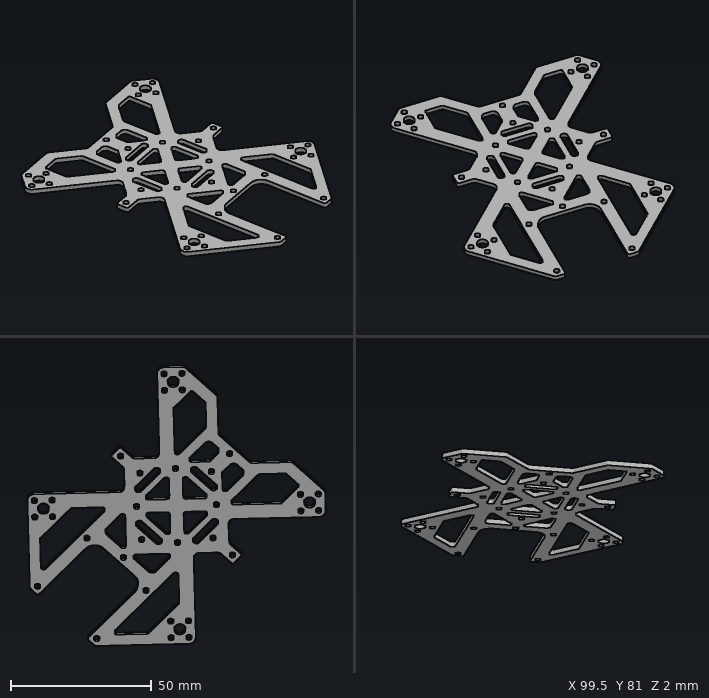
import cadquery as cq
import math


thickness = 2.0
length = 99.5
left_x = -40.5
right_x = left_x + length
half_depth = 40.5
waist_x = 30.0
bay_x = 29.85
bay_half_width = 12.0
side_diagonal = -22.1
body_diagonal = 26.0
tab_half_width = 2.5
tab_end_y = 30.0
tip_radius = 2.5
valley_radius = 2.0
shoulder_radius = 2.0
arm_corner_radius = 1.5
bay_radius = 4.5
end_radius = 0.8

motor_offset = 33.5
motor_screw_offset = 4.5
shaft_diameter = 4.0
screw_diameter = 2.0

stack_offset = 10.0
axis_hole_distances = [18.0, 27.5]
arm_hole_xs = [31.0, 56.5]
arm_hole_y = 14.5

window_radius = 1.0
blunt_radius = 0.5
square_radius = 1.8
slot_length = 11.9
slot_width = 2.6
slot_radius = 1.2
slot_offset = 14.2
center_base = 10.4
center_tip = 3.5
window_top = 26.5
left_arm_diagonal = 0.2
left_window_x = -35.7
left_window_bottom = 12.9
left_window_diagonal = -16.0
right_window_bottom = 17.1
right_window_diagonal = 69.2
triangle_x = 25.2
trapezoid_x = -26.2
trapezoid_top = 9.2
trapezoid_bottom = 3.1
trapezoid_diagonal = 23.4

tip_y = half_depth + tip_radius * (math.sqrt(2) - 1)
tip_sum = motor_offset + tip_y
arm_edge = tip_y - motor_offset


def rounded_prism(corners):
    """Extrude a closed polygon of (x, y, corner radius) through the plate."""
    outline = None
    for index, (x, y, radius) in enumerate(corners):
        corner = cq.Vector(x, y)
        before = cq.Vector(*corners[index - 1][:2])
        after = cq.Vector(*corners[(index + 1) % len(corners)][:2])
        to_before = (before - corner).normalized()
        to_after = (after - corner).normalized()
        half_angle = to_before.getAngle(to_after) / 2
        tangent_length = radius / math.tan(half_angle)
        arc_depth = radius / math.sin(half_angle) - radius
        arc_start = corner + to_before * tangent_length
        arc_middle = corner + (to_before + to_after).normalized() * arc_depth
        arc_end = corner + to_after * tangent_length
        if outline is None:
            outline = cq.Workplane("XY").moveTo(arc_start.x, arc_start.y)
        else:
            outline = outline.lineTo(arc_start.x, arc_start.y)
        outline = outline.threePointArc(arc_middle.toTuple()[:2], arc_end.toTuple()[:2])
    return outline.close().extrude(thickness)


def with_mirror(body):
    """Add the copy of a body on the other side of the X axis."""
    return body.union(body.mirror("XZ"))


def plate():
    valley_x = (body_diagonal - arm_edge) / 2
    valley_y = (body_diagonal + arm_edge) / 2
    upper_half = [
        (-waist_x, side_diagonal + waist_x, arm_corner_radius),
        (left_x, side_diagonal - left_x, arm_corner_radius),
        (left_x, tip_sum + left_x, arm_corner_radius),
        (-motor_offset, tip_y, tip_radius),
        (-valley_x, valley_y, valley_radius),
        (-tab_half_width, body_diagonal - tab_half_width, shoulder_radius),
        (-tab_half_width, tab_end_y, end_radius),
        (tab_half_width, tab_end_y, end_radius),
        (tab_half_width, body_diagonal - tab_half_width, shoulder_radius),
        (valley_x, valley_y, valley_radius),
        (motor_offset, tip_y, tip_radius),
        (right_x, tip_sum - right_x, arm_corner_radius),
        (right_x, bay_half_width, end_radius),
        (bay_x, bay_half_width, bay_radius),
    ]
    lower_half = [(x, -y, radius) for x, y, radius in reversed(upper_half)]
    return rounded_prism(upper_half + lower_half)


def center_windows():
    """Triangle and slot above the origin, repeated on all four sides."""
    half_base = center_base - center_tip
    triangle = rounded_prism([
        (0, center_tip, window_radius),
        (half_base, center_base, window_radius),
        (-half_base, center_base, window_radius),
    ])
    slot_bottom = slot_offset - slot_width / 2
    slot_top = slot_offset + slot_width / 2
    slot = rounded_prism([
        (-slot_length / 2, slot_bottom, slot_radius),
        (slot_length / 2, slot_bottom, slot_radius),
        (slot_length / 2, slot_top, slot_radius),
        (-slot_length / 2, slot_top, slot_radius),
    ])
    one_side = triangle.union(slot)
    windows = one_side
    for angle in (90, 180, 270):
        windows = windows.union(one_side.rotate((0, 0, 0), (0, 0, 1), angle))
    return windows


def left_arm_window():
    return rounded_prism([
        (left_window_x, window_top, blunt_radius),
        (left_arm_diagonal - window_top, window_top, blunt_radius),
        (left_arm_diagonal - left_window_bottom, left_window_bottom, window_radius),
        (left_window_diagonal - left_window_bottom, left_window_bottom, square_radius),
        (left_window_x, left_window_diagonal - left_window_x, blunt_radius),
    ])


def right_arm_window():
    return rounded_prism([
        (window_top, window_top, blunt_radius),
        (right_window_diagonal - window_top, window_top, blunt_radius),
        (right_window_diagonal - right_window_bottom, right_window_bottom, window_radius),
        (right_window_bottom, right_window_bottom, window_radius),
    ])


def body_triangle():
    return rounded_prism([
        (triangle_x, bay_half_width, square_radius),
        (triangle_x, body_diagonal - triangle_x, window_radius),
        (body_diagonal - bay_half_width, bay_half_width, window_radius),
    ])


def body_trapezoid():
    return rounded_prism([
        (trapezoid_x, trapezoid_top, square_radius),
        (trapezoid_top - trapezoid_diagonal, trapezoid_top, window_radius),
        (trapezoid_bottom - trapezoid_diagonal, trapezoid_bottom, blunt_radius),
        (trapezoid_x, trapezoid_bottom, square_radius),
    ])


def holes(points, diameter):
    return cq.Workplane("XY").pushPoints(points).circle(diameter / 2).extrude(thickness)


def around(x, y, distance):
    """Four points at a distance along X and Y from a center."""
    return [(x - distance, y), (x + distance, y), (x, y - distance), (x, y + distance)]


signs = (-1, 1)
motor_centers = [(i * motor_offset, j * motor_offset) for i in signs for j in signs]
screw_points = [(i * stack_offset, j * stack_offset) for i in signs for j in signs]
screw_points += [(x, j * arm_hole_y) for x in arm_hole_xs for j in signs]
for distance in axis_hole_distances:
    screw_points += around(0, 0, distance)
for motor_x, motor_y in motor_centers:
    screw_points += around(motor_x, motor_y, motor_screw_offset)

result = plate().cut(center_windows())
for window in (left_arm_window(), right_arm_window(), body_triangle(), body_trapezoid()):
    result = result.cut(with_mirror(window))
result = result.cut(holes(motor_centers, shaft_diameter))
result = result.cut(holes(screw_points, screw_diameter))